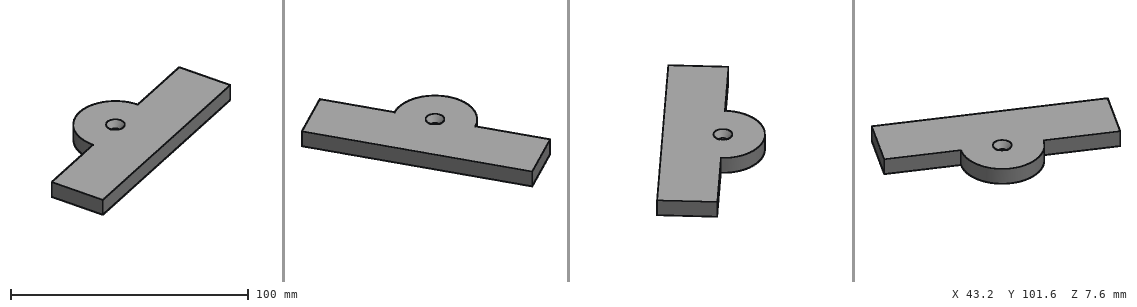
import cadquery as cq

bar_length = 101.6
bar_width = 25.4
thickness = 7.6

lug_radius = 17.8

hole_diameter = 3.0
countersink_diameter = 7.9
countersink_depth = 2.8

bar = cq.Workplane("XY").box(bar_width, bar_length, thickness, centered=(False, True, False))
lug = cq.Workplane("XY").circle(lug_radius).extrude(thickness)
hole = cq.Workplane("XY").circle(hole_diameter / 2).extrude(thickness)

countersink = (
    cq.Workplane("XY", origin=(0, 0, thickness - countersink_depth))
    .circle(hole_diameter / 2)
    .workplane(offset=countersink_depth)
    .circle(countersink_diameter / 2)
    .loft()
)

result = bar.union(lug).cut(hole).cut(countersink)